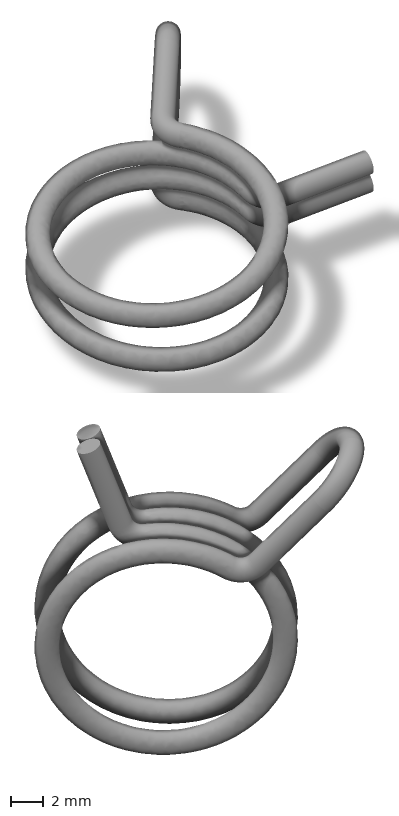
import cadquery as cq
import math


overall_depth = 23.63
overall_height = 7.0
wire_diameter = 1.51
coil_diameter = 14.45
leg_lean = 30.0
leg_bend_radius = 1.42
free_end_spacing = 1.6

wire_radius = wire_diameter / 2
coil_radius = coil_diameter / 2
loop_bend_radius = (overall_height - wire_diameter) / 2
loop_z = loop_bend_radius
free_end_z = free_end_spacing / 2
loop_leg_angle = 90 + leg_lean
free_leg_angle = 90 - leg_lean

loop_tip_radius = (overall_depth - coil_radius - wire_diameter) / math.cos(math.radians(leg_lean))
leg_end_radius = loop_tip_radius - loop_bend_radius

bend_centre_radius = coil_radius + leg_bend_radius
bend_span = math.degrees(math.asin(leg_bend_radius / bend_centre_radius))
leg_start_radius = bend_centre_radius * math.cos(math.radians(bend_span))
coil_start_angle = loop_leg_angle - bend_span
coil_end_angle = free_leg_angle + bend_span
coil_sweep = coil_start_angle - coil_end_angle + 360


def polar(radius, angle, z):
    """Point at a radius and an angle in degrees around the coil axis."""
    turn = math.radians(angle)
    return cq.Vector(radius * math.cos(turn), radius * math.sin(turn), z)


def loop_bend():
    """Quarter bend from the loop tip on the XY plane up to the upper leg."""
    half_way = math.sqrt(0.5) * loop_bend_radius
    return cq.Edge.makeThreePointArc(
        polar(loop_tip_radius, loop_leg_angle, 0),
        polar(leg_end_radius + half_way, loop_leg_angle, half_way),
        polar(leg_end_radius, loop_leg_angle, loop_z),
    )


def swept_wire(start, direction, path):
    """Round wire along a path, from a section at its start that faces a direction."""
    section = cq.Workplane(cq.Plane(origin=start.toTuple(), normal=direction.toTuple()))
    return section.circle(wire_radius).sweep(path, isFrenet=True)


def loop_half():
    """Upper half of the closed loop: tip bend, straight leg and bend onto the coil."""
    inward = polar(-1, loop_leg_angle, 0)
    leg_end = polar(leg_end_radius, loop_leg_angle, loop_z)
    leg_start = polar(leg_start_radius, loop_leg_angle, loop_z)
    coil_start = polar(coil_radius, coil_start_angle, loop_z)
    path = cq.Wire.assembleEdges([
        loop_bend(),
        cq.Edge.makeLine(leg_end, leg_start),
        cq.Edge.makeTangentArc(leg_start, inward, coil_start),
    ])
    return swept_wire(polar(loop_tip_radius, loop_leg_angle, 0), cq.Vector(0, 0, 1), path)


def coil():
    """Helix rising counter-clockwise from the free end to the loop.

    Its section stands in a plane through the coil axis, so it meets the level leg bends face to face.
    """
    height = loop_z - free_end_z
    pitch = height * 360 / coil_sweep
    helix = cq.Wire.makeHelix(pitch, height, coil_radius)
    turn = swept_wire(cq.Vector(coil_radius, 0, 0), cq.Vector(0, 1, 0), helix)
    return turn.rotate((0, 0, 0), (0, 0, 1), coil_end_angle).translate((0, 0, free_end_z))


def free_end():
    """Bend off the coil and straight free leg."""
    coil_end = polar(coil_radius, coil_end_angle, free_end_z)
    clockwise = polar(1, coil_end_angle - 90, 0)
    leg_start = polar(leg_start_radius, free_leg_angle, free_end_z)
    leg_end = polar(leg_end_radius, free_leg_angle, free_end_z)
    path = cq.Wire.assembleEdges([
        cq.Edge.makeTangentArc(coil_end, clockwise, leg_start),
        cq.Edge.makeLine(leg_start, leg_end),
    ])
    return swept_wire(coil_end, clockwise, path)


upper_half = loop_half().union(coil()).union(free_end())

result = upper_half.union(upper_half.mirror("XY"))